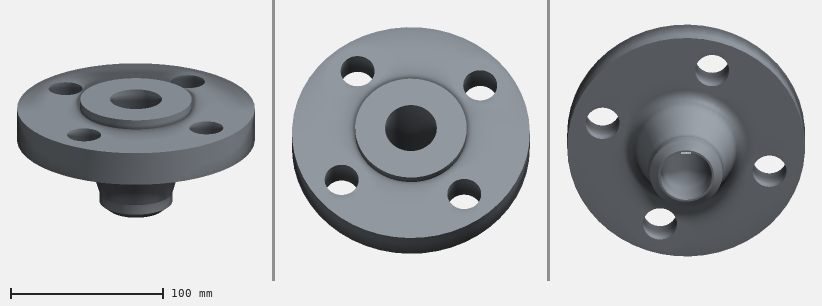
import cadquery as cq
import math

flange_diameter = 155.5
flange_thickness = 22.2
total_height = 76.2

face_diameter = 73.0
face_height = 6.4
bore_diameter = 33.9

bolt_count = 4
bolt_circle_diameter = 114.3
bolt_hole_diameter = 22.2

weld_end_diameter = 47.8
weld_tip_diameter = 36.5
bevel_height = 4.5
weld_end_height = 11.2
neck_top_diameter = 66.6
neck_fillet_drop = 5.5

flange_top = total_height - face_height
flange_bottom = flange_top - flange_thickness
neck_top = flange_bottom - neck_fillet_drop

neck_radius = neck_top_diameter / 2
weld_end_radius = weld_end_diameter / 2
taper = math.atan2(neck_radius - weld_end_radius, neck_top - weld_end_height)
fillet_radius = neck_fillet_drop / (1 - math.sin(taper))
fillet_center_x = neck_radius + fillet_radius * math.cos(taper)
fillet_center_z = flange_bottom - fillet_radius
fillet_mid_angle = (math.pi / 2 + math.pi - taper) / 2
fillet_mid = (
    fillet_center_x + fillet_radius * math.cos(fillet_mid_angle),
    fillet_center_z + fillet_radius * math.sin(fillet_mid_angle),
)


def make_body():
    """Revolve the half section of the flange and neck around Z."""
    bore_radius = bore_diameter / 2
    return (
        cq.Workplane("XZ")
        .moveTo(bore_radius, 0)
        .lineTo(weld_tip_diameter / 2, 0)
        .lineTo(weld_end_radius, bevel_height)
        .lineTo(weld_end_radius, weld_end_height)
        .lineTo(neck_radius, neck_top)
        .threePointArc(fillet_mid, (fillet_center_x, flange_bottom))
        .lineTo(flange_diameter / 2, flange_bottom)
        .lineTo(flange_diameter / 2, flange_top)
        .lineTo(face_diameter / 2, flange_top)
        .lineTo(face_diameter / 2, total_height)
        .lineTo(bore_radius, total_height)
        .close()
        .revolve(360, (0, 0, 0), (0, 1, 0))
    )


def make_bolt_holes():
    """Cylinders on the bolt circle, through the flange."""
    return (
        cq.Workplane("XY")
        .workplane(offset=flange_bottom)
        .polarArray(bolt_circle_diameter / 2, 0, 360, bolt_count)
        .circle(bolt_hole_diameter / 2)
        .extrude(flange_thickness)
    )


result = make_body().cut(make_bolt_holes())